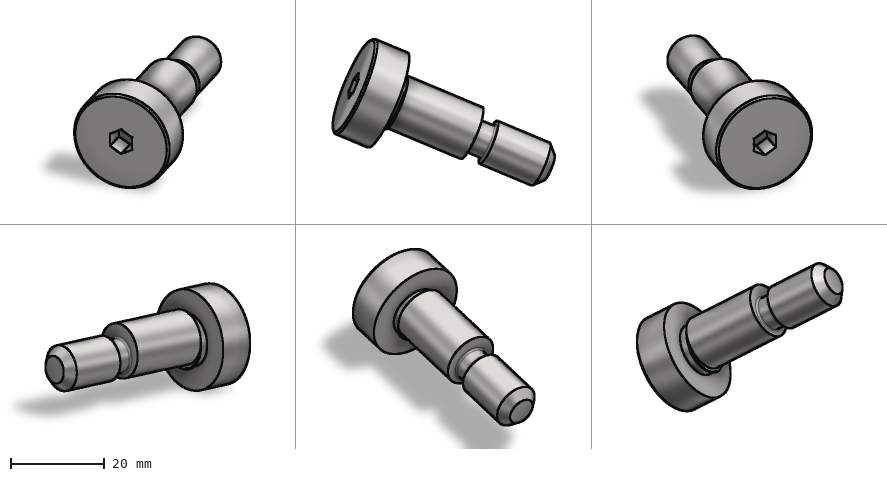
import cadquery as cq
import math

total_length = 46.0
head_diameter = 22.0
head_length = 8.0
head_chamfer = 0.45
hex_across_flats = 5.0
hex_depth = 5.0

collar_diameter = 11.5
collar_length = 2.0
collar_fillet = 0.28

shank_diameter = 12.0
shank_length = 17.8

neck_diameter = 7.5
neck_length = 4.0
neck_fillet = 0.4

tip_diameter = 10.0
tip_chamfer = 2.0

shank_offset = (shank_diameter - tip_diameter) / 2

shank_start = head_length + collar_length
neck_start = shank_start + shank_length
tip_start = neck_start + neck_length


def cylinder(diameter, start, length, height=0.0):
    """Round bar along +Y, beginning at y = start with its axis at z = height."""
    return (
        cq.Workplane("XZ", origin=(0, start, height))
        .circle(diameter / 2)
        .extrude(-length)
    )


def flared_bar(diameter, start, length, start_fillet, end_fillet):
    """Round bar on the pin axis that widens through concave fillets at its ends."""
    radius = diameter / 2
    end = start + length
    arc_inset = 1 - math.sqrt(0.5)
    profile = cq.Workplane("XY").moveTo(0, start)
    if start_fillet > 0:
        inset = arc_inset * start_fillet
        profile = profile.lineTo(radius + start_fillet, start).threePointArc(
            (radius + inset, start + inset), (radius, start + start_fillet)
        )
    else:
        profile = profile.lineTo(radius, start)
    inset = arc_inset * end_fillet
    profile = profile.lineTo(radius, end - end_fillet).threePointArc(
        (radius + inset, end - inset), (radius + end_fillet, end)
    )
    return profile.lineTo(0, end).close().revolve(360, (0, 0, 0), (0, 1, 0))


def hex_socket():
    """Hexagonal recess with two corners on the Z axis."""
    across_corners = hex_across_flats / math.cos(math.radians(30))
    return (
        cq.Workplane("XZ")
        .transformed(rotate=(0, 0, 90))
        .polygon(6, across_corners)
        .extrude(-hex_depth)
    )


head = cylinder(head_diameter, 0, head_length).faces("<Y").chamfer(head_chamfer)
collar = flared_bar(collar_diameter, head_length, collar_length, 0, collar_fillet)
shank = cylinder(shank_diameter, shank_start, shank_length, shank_offset)
neck = flared_bar(neck_diameter, neck_start, neck_length, neck_fillet, neck_fillet)
tip = cylinder(tip_diameter, tip_start, total_length - tip_start).faces(">Y").chamfer(tip_chamfer)

result = head.union(collar).union(shank).union(neck).union(tip).cut(hex_socket())